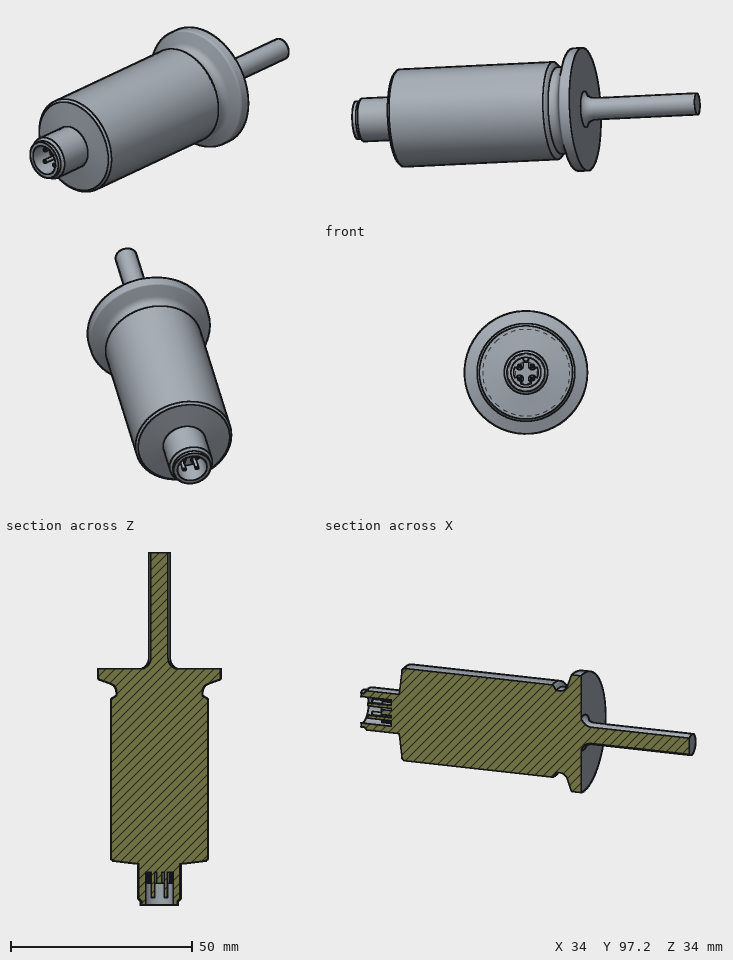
import cadquery as cq
import math


stem_length = 32.0
stem_radius = 6.0 / 2
stem_fillet = 3.0
stem_foot_radius = 10.0 / 2

flange_radius = 34.0 / 2
flange_rim_width = 2.5
flange_edge_fillet = 0.6
flange_taper_angle = 20.0
neck_radius = 24.0 / 2
neck_end_y = -7.4
neck_fillet = 2.3

housing_radius = 27.0 / 2
shoulder_radius = 13.0
shoulder_y = -8.0
housing_start_y = -8.5
housing_end_y = -52.4
housing_end_chamfer = 0.65
housing_face_rise = 0.8

seat_radius = 12.6 / 2
plug_radius = 12.0 / 2
plug_tip_radius = 10.5 / 2
overall_length = 97.2
plug_end_y = stem_length - overall_length
plug_tip_length = 1.05
plug_chamfer = plug_radius - plug_tip_radius

socket_radius = 8.3 / 2
socket_depth = 9.0
carrier_radius = 6.8 / 2
carrier_height = 3.0
pin_radius = 1.0 / 2
pin_circle_radius = 2.5
pin_length = 7.0
pin_tip_chamfer = 0.2
pin_count = 4
pocket_radius = 1.0
arm_half_width = 1.4
upper_arm_half_width = 0.75
upper_arm_top_z = 2.75
key_radius = 0.85
key_centre_z = 3.95
key_end_gap = 5.5

socket_floor_y = plug_end_y + socket_depth
pin_offset = pin_circle_radius * math.cos(math.radians(45))


def make_turned_body():
    """Revolve the outer outline of stem, flange, housing and plug."""
    foot_angle = math.acos(1 - (stem_foot_radius - stem_radius) / stem_fillet)
    foot_length = stem_fillet * math.sin(foot_angle)
    foot_mid = (
        stem_radius + stem_fillet * (1 - math.cos(foot_angle / 2)),
        foot_length - stem_fillet * math.sin(foot_angle / 2),
    )

    taper = math.radians(flange_taper_angle)
    rim_turn = math.pi / 2 - taper
    rim_centre_r = flange_radius - flange_edge_fillet

    def rim_point(angle):
        return (
            rim_centre_r + flange_edge_fillet * math.cos(angle),
            -flange_rim_width - flange_edge_fillet * math.sin(angle),
        )

    rim_end = rim_point(rim_turn)

    fillet_start_r = neck_radius + neck_fillet * (1 - math.sin(taper))
    fillet_start_y = rim_end[1] - (rim_end[0] - fillet_start_r) * math.tan(taper)
    fillet_centre = (neck_radius + neck_fillet, fillet_start_y - neck_fillet * math.cos(taper))
    fillet_mid = (
        fillet_centre[0] - neck_fillet * math.cos(rim_turn / 2),
        fillet_centre[1] + neck_fillet * math.sin(rim_turn / 2),
    )

    face_y = housing_end_y - housing_end_chamfer
    seat_y = face_y - housing_face_rise
    tip_start_y = plug_end_y + plug_tip_length
    outline = (
        cq.Workplane("XY")
        .moveTo(0, stem_length)
        .lineTo(stem_radius, stem_length)
        .lineTo(stem_radius, foot_length)
        .threePointArc(foot_mid, (stem_foot_radius, 0))
        .lineTo(flange_radius, 0)
        .lineTo(flange_radius, -flange_rim_width)
        .threePointArc(rim_point(rim_turn / 2), rim_end)
        .lineTo(fillet_start_r, fillet_start_y)
        .threePointArc(fillet_mid, (neck_radius, fillet_centre[1]))
        .lineTo(neck_radius, neck_end_y)
        .lineTo(shoulder_radius, shoulder_y)
        .lineTo(housing_radius, housing_start_y)
        .lineTo(housing_radius, housing_end_y)
        .lineTo(housing_radius - housing_end_chamfer, face_y)
        .lineTo(seat_radius, seat_y)
        .lineTo(plug_radius, seat_y)
        .lineTo(plug_radius, tip_start_y + plug_chamfer)
        .lineTo(plug_tip_radius, tip_start_y)
        .lineTo(plug_tip_radius, plug_end_y)
        .lineTo(0, plug_end_y)
        .close()
    )
    return outline.revolve(360, (0, 0, 0), (0, 1, 0))


def cylinder(radius, x, z, start_y, length):
    """Make a cylinder along Y that runs from start_y toward -Y."""
    return (
        cq.Workplane("XZ", origin=(0, start_y, 0))
        .center(x, z)
        .circle(radius)
        .extrude(length)
    )


def box(half_width, bottom_z, top_z):
    """Make a block centred on X = 0 that stands as high as the carrier."""
    return (
        cq.Workplane("XZ", origin=(0, socket_floor_y, 0))
        .center(0, (bottom_z + top_z) / 2)
        .rect(2 * half_width, top_z - bottom_z)
        .extrude(carrier_height)
    )


def make_pin():
    """Make one chamfered pin on the +X side of the pin circle."""
    pin = cylinder(pin_radius, pin_circle_radius, 0, socket_floor_y, pin_length)
    return pin.faces("<Y").chamfer(pin_tip_chamfer)


def make_pocket():
    """Make the cutter around the +X pin: a round clearance with a right-angled opening."""
    clearance = cylinder(pocket_radius, pin_circle_radius, 0, socket_floor_y, carrier_height)
    corner_x = arm_half_width * math.sqrt(2)
    outer_x = carrier_radius + pocket_radius
    opening = (
        cq.Workplane("XZ", origin=(0, socket_floor_y, 0))
        .moveTo(corner_x, 0)
        .lineTo(outer_x, outer_x - corner_x)
        .lineTo(outer_x, corner_x - outer_x)
        .close()
        .extrude(carrier_height)
    )
    return clearance.union(opening)


def around_axis(shape):
    """List copies of a shape, one at each pin position around the Y axis."""
    step = 360 / pin_count
    return [shape.rotate((0, 0, 0), (0, 1, 0), (index + 0.5) * step) for index in range(pin_count)]


def make_carrier():
    """Make the cross-shaped carrier, with its upper arm cut short below the key."""
    carrier = cylinder(carrier_radius, 0, 0, socket_floor_y, carrier_height)
    for pocket in around_axis(make_pocket()):
        carrier = carrier.cut(pocket)
    carrier = carrier.cut(box(pin_offset, pin_offset, carrier_radius))
    return carrier.union(box(upper_arm_half_width, 0, upper_arm_top_z))


def make_key():
    """Make the rib on the upper socket wall that codes the connector."""
    rib = cylinder(key_radius, 0, key_centre_z, socket_floor_y, socket_depth - key_end_gap)
    return rib.intersect(cylinder(plug_tip_radius, 0, 0, socket_floor_y, socket_depth))


result = make_turned_body()
result = result.cut(cylinder(socket_radius, 0, 0, socket_floor_y, socket_depth))
result = result.union(make_carrier())
for pin in around_axis(make_pin()):
    result = result.union(pin)
result = result.union(make_key())